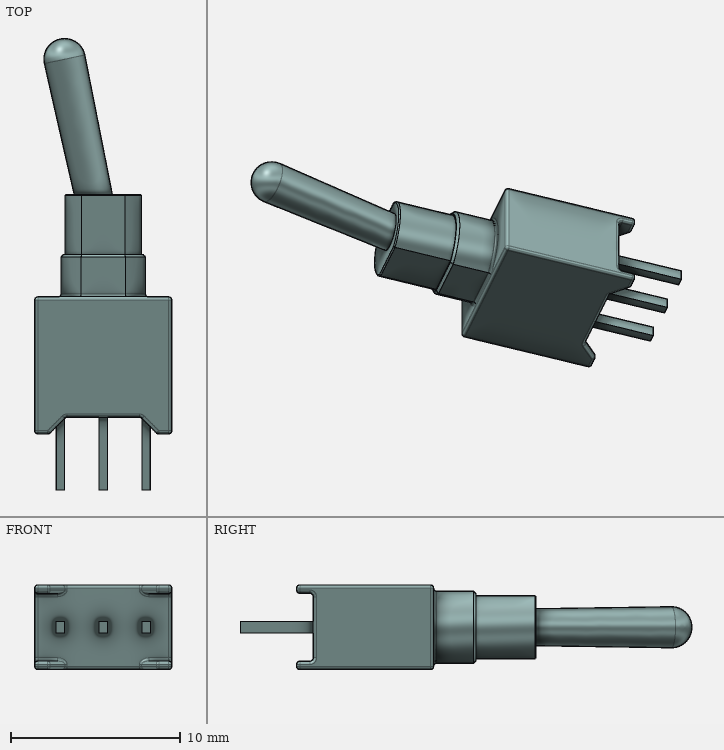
import cadquery as cq
import math


body_width = 8.1
body_height = 5.0
body_depth = 7.12
edge_radius = 0.2

foot_length = 0.99
foot_thickness = 0.5
foot_end_width = 0.85

pin_count = 3
pin_pitch = 2.53
pin_width = 0.5
pin_height = 0.7
pin_length = 4.3

collar_radius = 2.5
collar_flat_height = 4.27
collar_length = 2.5
collar_edge = 0.15
collar_root_fillet = 0.15
bushing_radius = 2.27
bushing_flat_height = 3.73
bushing_length = 3.55
bushing_edge = 0.08

overall_length = 26.65
lever_lean = 12.0
ball_radius = 1.23
lever_pivot_radius = 1.07
lever_pivot_y = 10.4

collar_end_y = body_depth + collar_length


def make_housing():
    """Box with four corner feet at the rear, every edge rounded."""
    full_depth = body_depth + foot_length
    housing = cq.Workplane("XY").box(body_width, full_depth, body_height)
    housing = housing.translate((0, body_depth - full_depth / 2, 0))

    gap_height = body_height - 2 * foot_thickness
    gap = cq.Workplane("XY").box(body_width, foot_length, gap_height)
    housing = housing.cut(gap.translate((0, -foot_length / 2, 0)))

    notch_mouth = body_width / 2 - foot_end_width
    notch_root = notch_mouth - foot_length
    notch = (
        cq.Workplane("XY")
        .polyline(
            [
                (-notch_mouth, -foot_length),
                (-notch_root, 0),
                (notch_root, 0),
                (notch_mouth, -foot_length),
            ]
        )
        .close()
        .extrude(body_height / 2, both=True)
    )
    return housing.cut(notch).edges().fillet(edge_radius)


def make_pins():
    """Row of rectangular pins standing out of the rear panel."""
    return (
        cq.Workplane("XZ")
        .rarray(pin_pitch, 0.27, pin_count, 1)
        .rect(pin_width, pin_height)
        .extrude(pin_length)
    )


def make_flatted_cylinder(start_y, length, radius, flat_height, end_edge):
    """Cylinder along +Y with flats on top and bottom and a chamfered front end."""
    cylinder = cq.Workplane("XZ", origin=(0, start_y, 0)).circle(radius).extrude(-length)
    flats = cq.Workplane("XY").box(2 * radius, length, flat_height)
    flats = flats.translate((0, start_y + length / 2, 0))
    return cylinder.intersect(flats).faces(">Y").chamfer(end_edge)


def join_collar(housing, collar):
    """Join the collar to the housing front and fillet the inside corner around its root."""
    margin = collar_root_fillet / 2
    half_width = collar_radius + margin
    half_height = collar_flat_height / 2 + margin
    root_edges = cq.selectors.BoxSelector(
        (-half_width, body_depth - margin, -half_height),
        (half_width, body_depth + margin, half_height),
        boundingbox=True,
    )
    return housing.union(collar).edges(root_edges).fillet(collar_root_fillet)


def make_lever():
    """Tapered rod with a ball end, modelled upright and then leaned about its pivot."""
    lean = math.radians(lever_lean)
    tip_y = overall_length - pin_length
    rod_length = (tip_y - ball_radius - lever_pivot_y) / math.cos(lean)
    profile = (
        cq.Workplane("XY")
        .lineTo(lever_pivot_radius, 0)
        .lineTo(ball_radius, rod_length)
        .radiusArc((0, rod_length + ball_radius), -ball_radius)
        .close()
    )
    lever = profile.revolve(360, (0, 0), (0, 1))
    return lever.rotate((0, 0, 0), (0, 0, 1), lever_lean).translate((0, lever_pivot_y, 0))


collar = make_flatted_cylinder(
    body_depth, collar_length, collar_radius, collar_flat_height, collar_edge
)
bushing = make_flatted_cylinder(
    collar_end_y, bushing_length, bushing_radius, bushing_flat_height, bushing_edge
)

body = join_collar(make_housing(), collar)
result = body.union(bushing).union(make_pins()).union(make_lever())